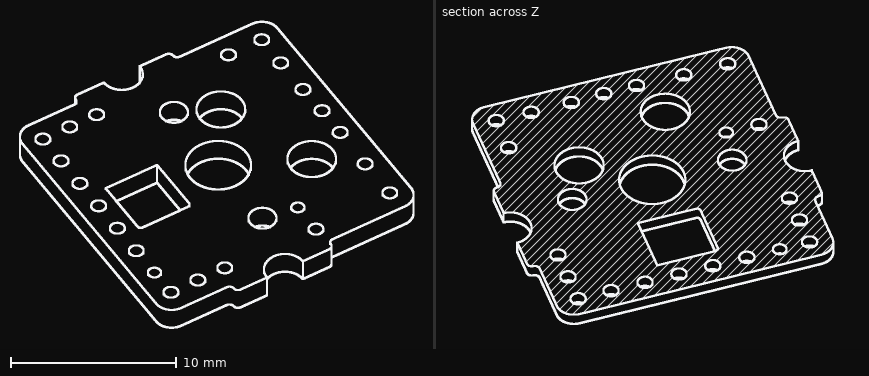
import cadquery as cq

body_width = 17.6
plate_length = 18.1
thickness = 1.6
corner_radius = 1.1

overall_width = 18.8
tab_length = 6.9
tab_centre_y = -0.95
tab_fillet = 0.3
notch_radius = 1.27

window_width = 3.9
window_length = 3.65
window_centre_y = -4.86
window_corner_radius = 0.2

centre_hole_diameter = 3.98
stem_hole_diameter = 2.95
guide_hole_diameter = 1.7
pin_hole_diameter = 0.9
small_pin_hole_diameter = 0.8

switch_centre_y = 0.1
guide_hole_x = 5.1
stem_hole_pitch = 1.27
stem_hole_points = [
    (-3 * stem_hole_pitch, switch_centre_y + 2 * stem_hole_pitch),
    (2 * stem_hole_pitch, switch_centre_y + 4 * stem_hole_pitch),
]

column_x = 7.38
column_ys = [-7.8, -5.89, -3.98, 7.74]
bottom_row_y = -7.8
bottom_row_xs = [-5.28, -3.11, -0.95, 1.21, 3.38]
top_row_y = 7.72
top_row_xs = [-5.16, -2.6, 4.57]
raised_top_row_y = 7.79
raised_top_row_xs = [-0.51, 1.58]
left_single_pin_y = 5.38
pin_pair_y = 2.38
pin_pair_outer_x = 7.57
small_pin_x = 5.48
single_pin_points = [(-column_x, left_single_pin_y), (pin_pair_outer_x, pin_pair_y)]
small_pin_points = [(small_pin_x, pin_pair_y), (small_pin_x, bottom_row_y)]


def make_plate():
    """Rounded plate with a filleted tab on each side."""
    body = (
        cq.Workplane("XY")
        .rect(body_width, plate_length)
        .extrude(thickness)
        .edges("|Z")
        .fillet(corner_radius)
    )
    tabs = (
        cq.Workplane("XY")
        .center(0, tab_centre_y)
        .rect(overall_width, tab_length)
        .extrude(thickness)
        .edges("|Z")
        .fillet(tab_fillet)
    )
    plate = body.union(tabs)
    for side in (-1, 1):
        for end in (-1, 1):
            plate = plate.union(make_inner_tab_fillet(side, end))
    return plate


def make_inner_tab_fillet(side, end):
    """Concave fillet filling the corner between the body and one end of a tab."""
    corner_x = side * body_width / 2
    corner_y = tab_centre_y + end * tab_length / 2
    centre_x = corner_x + side * tab_fillet
    centre_y = corner_y + end * tab_fillet
    block = (
        cq.Workplane("XY")
        .center(corner_x, corner_y)
        .rect(2 * tab_fillet, 2 * tab_fillet)
        .extrude(thickness)
    )
    return block.cut(make_cylinders([(centre_x, centre_y)], 2 * tab_fillet))


def make_cylinders(points, diameter):
    """Full-thickness cylinders at the given points."""
    return cq.Workplane("XY").pushPoints(points).circle(diameter / 2).extrude(thickness)


def make_window():
    """Cutter for the rectangular window."""
    return (
        cq.Workplane("XY")
        .center(0, window_centre_y)
        .rect(window_width, window_length)
        .extrude(thickness)
        .edges("|Z and >X")
        .fillet(window_corner_radius)
    )


def pin_hole_points():
    """Centres of all the standard pin holes."""
    points = [(side * column_x, y) for side in (-1, 1) for y in column_ys]
    points += [(x, bottom_row_y) for x in bottom_row_xs]
    points += [(x, top_row_y) for x in top_row_xs]
    points += [(x, raised_top_row_y) for x in raised_top_row_xs]
    return points + single_pin_points


notch_points = [(side * overall_width / 2, tab_centre_y) for side in (-1, 1)]
guide_hole_points = [(side * guide_hole_x, switch_centre_y) for side in (-1, 1)]

result = make_plate().cut(make_window())
for hole_points, hole_diameter in [
    (notch_points, 2 * notch_radius),
    ([(0, switch_centre_y)], centre_hole_diameter),
    (stem_hole_points, stem_hole_diameter),
    (guide_hole_points, guide_hole_diameter),
    (pin_hole_points(), pin_hole_diameter),
    (small_pin_points, small_pin_hole_diameter),
]:
    result = result.cut(make_cylinders(hole_points, hole_diameter))